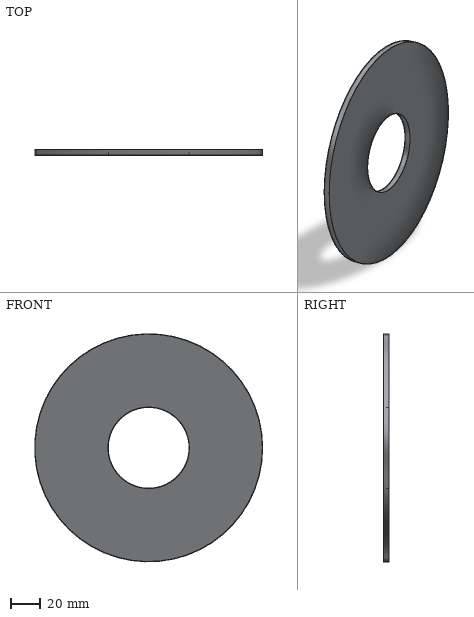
import cadquery as cq

outer_diameter = 155.0
hole_diameter = 55.0
thickness = 4.0

result = (
    cq.Workplane("XZ")
    .circle(outer_diameter / 2)
    .circle(hole_diameter / 2)
    .extrude(thickness)
)